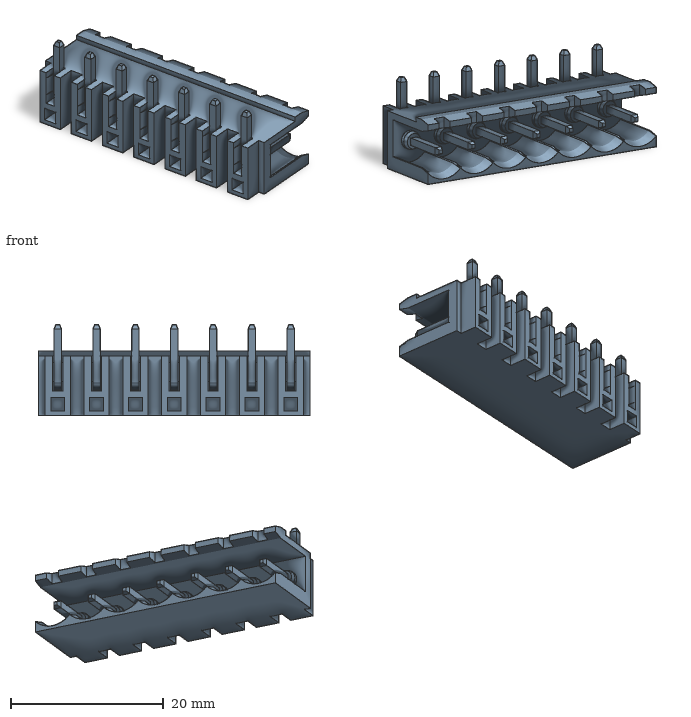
import cadquery as cq
import math


length = 35.55
contact_count = 7
pitch = length / contact_count
contact_xs = [(i - (contact_count - 1) / 2) * pitch for i in range(contact_count)]

depth = 12.2
rib_depth = 2.42
cavity_back = 3.8
floor_z = 1.9
ceiling_z = 6.85
roof_z = 7.82
lip_z = 8.45
lip_depth = 2.95
lead_in = 1.5
lead_in_angle = 15
lead_in_rise = lead_in * math.tan(math.radians(lead_in_angle))

pin_size = 1.0
pin_tip_size = 0.5
pin_tip_length = 0.57
pin_z = 3.88
pin_y = rib_depth - pin_size / 2
pin_top = 11.9
pin_setback = 0.85
pin_front = depth - pin_setback

collar_diameter = 2.5
collar_end_diameter = 2.05
collar_step = 0.55

trough_radius = 3.05

notch_front_width = 1.7
notch_back_width = 1.45
notch_depth = 1.25

rib_width = 3.3
slot_width = 1.3
slot_floor_z = 3.2
window_width = 1.8
window_bottom_z = 0.6
window_height = 1.75

wedge_bottom_z = 4.45
wedge_top_z = 6.97
wedge_start = 0.2


def box(x_size, y_range, z_range, x_centre=0.0):
    """Box centred on x_centre, spanning the given Y and Z ranges."""
    y0, y1 = y_range
    z0, z1 = z_range
    return cq.Workplane("XY").box(x_size, y1 - y0, z1 - z0, centered=(True, False, False)).translate(
        (x_centre, y0, z0)
    )


def make_channel():
    """C-shaped housing section with sloped lead-ins at its mouth."""
    section = [
        (rib_depth, 0),
        (depth, 0),
        (depth, floor_z - lead_in_rise),
        (depth - lead_in, floor_z),
        (cavity_back, floor_z),
        (cavity_back, ceiling_z),
        (depth - lead_in, ceiling_z),
        (depth, ceiling_z + lead_in_rise),
        (depth, lip_z - lead_in_rise),
        (depth - lead_in, lip_z),
        (depth - lip_depth, lip_z),
        (depth - lip_depth, roof_z),
        (rib_depth, roof_z),
    ]
    return cq.Workplane("YZ").polyline(section).close().extrude(length / 2, both=True)


def make_trough(x):
    """Lower half of a round bore about the pin axis, flaring at the mouth."""
    mouth_radius = trough_radius + lead_in_rise
    profile = [
        (0, cavity_back),
        (trough_radius, cavity_back),
        (trough_radius, depth - lead_in),
        (mouth_radius, depth),
        (0, depth),
    ]
    bore = cq.Workplane("XY").polyline(profile).close().revolve(360, (0, 0, 0), (0, 1, 0))
    lower_half = box(2 * mouth_radius, (cavity_back, depth), (-mouth_radius, 0))
    return bore.intersect(lower_half).translate((x, 0, pin_z))


def make_notch(x):
    """Tapered notch through the lip, narrowing away from the mouth."""
    outline = [
        (x - notch_front_width / 2, depth),
        (x + notch_front_width / 2, depth),
        (x + notch_back_width / 2, depth - notch_depth),
        (x - notch_back_width / 2, depth - notch_depth),
    ]
    return cq.Workplane("XY").workplane(offset=ceiling_z).polyline(outline).close().extrude(lip_z - ceiling_z)


def make_wedge(x, side):
    """Gripping wedge on one slot wall; side is -1 or 1."""
    wall_x = x + side * slot_width / 2
    pin_x = x + side * pin_size / 2
    outline = [
        (wall_x, wedge_start),
        (pin_x, rib_depth - pin_size),
        (pin_x, rib_depth),
        (wall_x, rib_depth),
    ]
    height = wedge_top_z - wedge_bottom_z
    return cq.Workplane("XY").workplane(offset=wedge_bottom_z).polyline(outline).close().extrude(height)


def make_rib(x):
    """Solder-side rib with its pin slot, gripping wedges and blind window."""
    rib = box(rib_width, (0, rib_depth), (0, roof_z), x)
    slot = box(slot_width, (0, rib_depth), (slot_floor_z, roof_z), x)
    window_z = (window_bottom_z, window_bottom_z + window_height)
    window = box(window_width, (0, rib_depth), window_z, x)
    return rib.cut(slot).cut(window).union(make_wedge(x, -1)).union(make_wedge(x, 1))


def make_pin_tip(origin, direction):
    """Truncated pyramid on the end of a square pin."""
    plane = cq.Plane(origin=origin, xDir=(1, 0, 0), normal=direction)
    return (
        cq.Workplane(plane)
        .rect(pin_size, pin_size)
        .workplane(offset=pin_tip_length)
        .rect(pin_tip_size, pin_tip_size)
        .loft()
    )


def make_pin(x):
    """Right-angle pin: upright solder leg, rounded outer corner, contact leg."""
    half = pin_size / 2
    leg_top = pin_top - pin_tip_length
    leg_front = pin_front - pin_tip_length
    upright = box(pin_size, (pin_y - half, pin_y + half), (pin_z + half, leg_top), x)
    contact = box(pin_size, (pin_y + half, leg_front), (pin_z - half, pin_z + half), x)
    elbow = box(pin_size, (pin_y - half, pin_y + half), (pin_z - half, pin_z + half), x)
    bend = (
        cq.Workplane("YZ")
        .center(pin_y + half, pin_z + half)
        .circle(pin_size)
        .extrude(half, both=True)
        .translate((x, 0, 0))
    )
    top_tip = make_pin_tip((x, pin_y, leg_top), (0, 0, 1))
    front_tip = make_pin_tip((x, leg_front, pin_z), (0, 1, 0))
    return upright.union(contact).union(elbow.intersect(bend)).union(top_tip).union(front_tip)


def make_collar(x):
    """Round collar on the cavity wall, a cylinder ending in a cone."""
    profile = [
        (0, rib_depth),
        (collar_diameter / 2, rib_depth),
        (collar_diameter / 2, cavity_back + collar_step),
        (collar_end_diameter / 2, cavity_back + 2 * collar_step),
        (0, cavity_back + 2 * collar_step),
    ]
    collar = cq.Workplane("XY").polyline(profile).close().revolve(360, (0, 0, 0), (0, 1, 0))
    return collar.translate((x, 0, pin_z))


result = make_channel()
for contact_x in contact_xs:
    result = result.cut(make_trough(contact_x)).cut(make_notch(contact_x))
for contact_x in contact_xs:
    result = result.union(make_rib(contact_x)).union(make_collar(contact_x)).union(make_pin(contact_x))